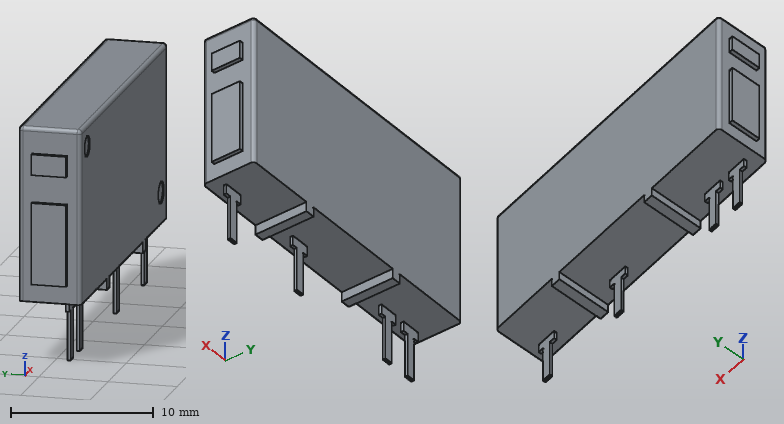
import cadquery as cq

total_length = 24.5
total_height = 17.2

end_tab_thickness = 0.32
case_length = total_length - 2 * end_tab_thickness
case_width = 4.5
case_height = 12.7
case_edge_radius = 0.3

end_tab_width = 2.5
upper_tab_height = 1.5
upper_tab_top_gap = 1.9
lower_tab_height = 5.9
lower_tab_bottom_gap = 1.35

foot_length = 0.8
foot_height = 0.8
foot_positions = (-4.39, 5.51)

pin_span = 20.34
pin_span_pitches = 8
pin_pitch = pin_span / pin_span_pitches
pin_steps = (0, 1, 5, 8)
first_pin_x = -pin_span / 2
pin_positions = [first_pin_x + step * pin_pitch for step in pin_steps]
pin_y = -1.03
pin_length = total_height - case_height
pin_width = 0.74
pin_thickness = 0.25
pin_tip_chamfer = 0.07
shoulder_width = 1.65

mark_depth = 0.1
mark_offset_x = 10.2
upper_mark_radius = 0.74
upper_mark_top_gap = 1.62
lower_mark_radius = 0.78
lower_mark_height = 2.25


def hanging_block(x, y, length, width, height):
    """Box centred at x, y whose top face lies on the underside of the case."""
    return (
        cq.Workplane("XY")
        .box(length, width, height, centered=(True, True, False))
        .translate((x, y, -height))
    )


def make_case():
    case = cq.Workplane("XY").box(case_length, case_width, case_height, centered=(True, True, False))
    return case.edges("|Z or >Z").fillet(case_edge_radius)


def end_tab_pair(bottom, height):
    """One bar through the case whose two ends stand out as tabs."""
    return (
        cq.Workplane("XY")
        .box(total_length, end_tab_width, height, centered=(True, True, False))
        .translate((0, 0, bottom))
    )


def make_pin(x):
    blade = hanging_block(x, pin_y, pin_width, pin_thickness, pin_length)
    blade = blade.faces("<Z").edges().chamfer(pin_tip_chamfer)
    shoulder = hanging_block(x, pin_y, shoulder_width, pin_thickness, foot_height)
    return blade.union(shoulder)


def front_mark(x, z, radius):
    """Disc to remove from the -Y face of the case."""
    return (
        cq.Workplane("XZ", origin=(x, -case_width / 2, z))
        .circle(radius)
        .extrude(-mark_depth)
    )


result = make_case()

upper_tab_bottom = case_height - upper_tab_top_gap - upper_tab_height
result = result.union(end_tab_pair(upper_tab_bottom, upper_tab_height))
result = result.union(end_tab_pair(lower_tab_bottom_gap, lower_tab_height))

for foot_x in foot_positions:
    result = result.union(hanging_block(foot_x, 0, foot_length, case_width, foot_height))

for pin_x in pin_positions:
    result = result.union(make_pin(pin_x))

upper_mark_z = case_height - upper_mark_top_gap
result = result.cut(front_mark(-mark_offset_x, upper_mark_z, upper_mark_radius))
result = result.cut(front_mark(mark_offset_x, lower_mark_height, lower_mark_radius))